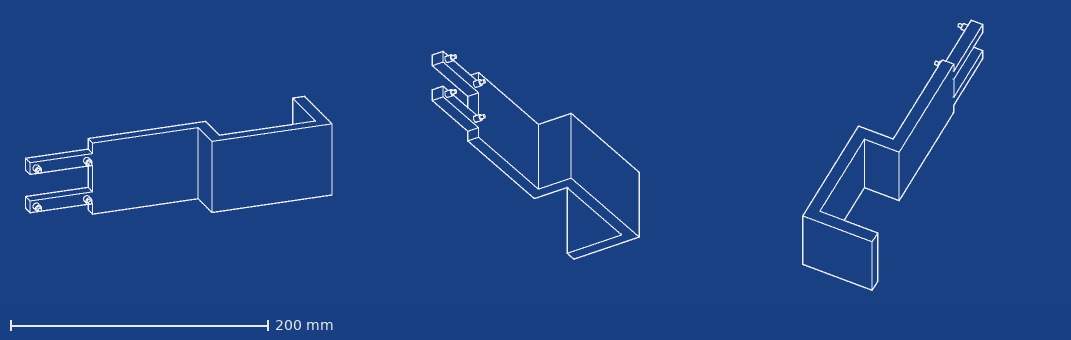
import cadquery as cq

width = 60.0
length = 240.0
height = 60.0

thickness = width / 6
arm_left = width / 3
step_depth = 10 * thickness

prong_length = 52.0
prong_height = thickness
prong_edge_gap = 9.0

pin_inset = 5.0
pin_base_diameter = 5.0
pin_base_length = 5.0
pin_tip_diameter = 3.0
pin_tip_length = 3.4

left = -width / 2
right = width / 2
front = -length / 2
back = length / 2
arm_outer = left + arm_left
arm_inner = arm_outer + thickness
step_front = back - step_depth
prong_root = front + prong_length
prong_center_z = height / 2 - prong_edge_gap - prong_height / 2


def make_plate():
    """Constant-height plate folded into a flange, web, step and arm."""
    outline = [
        (left, back),
        (right, back),
        (right, step_front),
        (arm_inner, step_front),
        (arm_inner, prong_root),
        (arm_outer, prong_root),
        (arm_outer, step_front + thickness),
        (right - thickness, step_front + thickness),
        (right - thickness, back - thickness),
        (left, back - thickness),
    ]
    return cq.Workplane("XY").polyline(outline).close().extrude(height / 2, both=True)


def make_prong(z):
    """Square bar continuing the arm to the front end."""
    return cq.Workplane("XY").box(thickness, prong_length, prong_height).translate(
        ((arm_outer + arm_inner) / 2, front + prong_length / 2, z)
    )


def make_pin(y, z):
    """Two-diameter pin standing on the inner face of a prong."""
    return (
        cq.Workplane("YZ", origin=(arm_inner, y, z))
        .circle(pin_base_diameter / 2)
        .extrude(pin_base_length)
        .faces(">X")
        .workplane()
        .circle(pin_tip_diameter / 2)
        .extrude(pin_tip_length)
    )


result = make_plate()
for prong_z in (-prong_center_z, prong_center_z):
    result = result.union(make_prong(prong_z))
    for pin_y in (front + pin_inset, prong_root - pin_inset):
        result = result.union(make_pin(pin_y, prong_z))